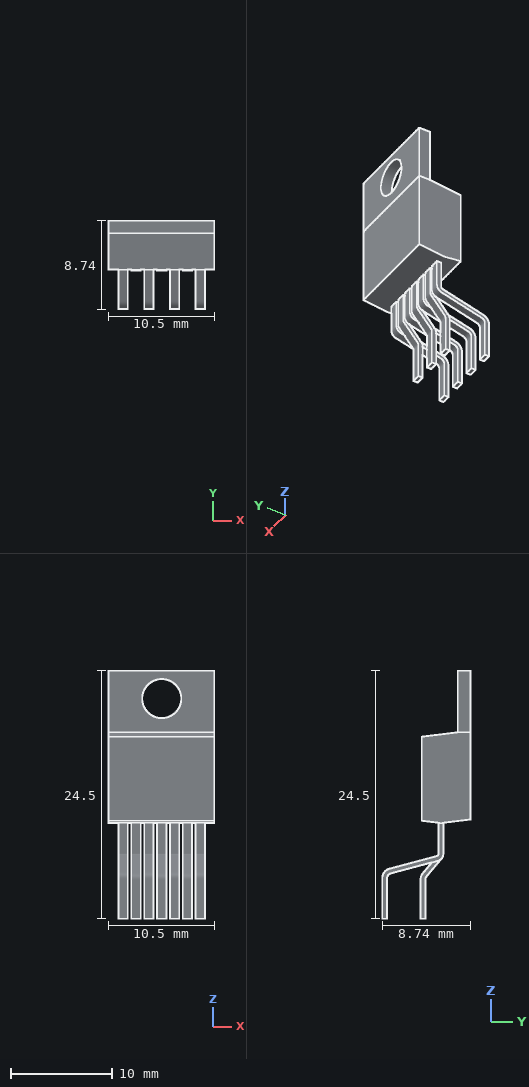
import cadquery as cq
import math


package_width = 10.47
package_height = 24.52
centre_line = 0.04

tab_thickness = 1.27
tab_height = 6.07
tab_bottom = package_height - tab_height
hole_diameter = 3.84
hole_below_top = 2.75

housing_depth = 4.84
housing_ridge = 9.46
draft_slope = math.tan(math.radians(7))

lead_count = 7
lead_pitch = 1.27
lead_width = 0.95
lead_thickness = 0.5
lead_plane = 2.92
upper_bend_start = 6.46
upper_bend_radius = 0.5
lower_bend_radius = 0.75

package_depth = 8.74
long_foot_plane = package_depth - lead_thickness / 2
long_bend_angle = math.radians(75)
short_foot_plane = 4.70
short_bend_angle = math.radians(40)


def make_tab():
    """Flat plate with a round mounting hole, standing on the housing."""
    plate = cq.Workplane("XY").box(
        package_width, tab_thickness, tab_height, centered=(True, False, False)
    ).translate((0, -tab_thickness, tab_bottom))
    hole = (
        cq.Workplane("XZ")
        .center(centre_line, package_height - hole_below_top)
        .circle(hole_diameter / 2)
        .extrude(tab_thickness)
    )
    return plate.cut(hole)


def make_housing():
    """Block with a drafted top in front of the tab and a shallow V underside."""
    front_top = tab_bottom - (housing_depth - tab_thickness) * draft_slope
    front_bottom = housing_ridge + (housing_depth - lead_plane) * draft_slope
    back_bottom = housing_ridge + lead_plane * draft_slope
    profile = [
        (0, back_bottom),
        (0, tab_bottom),
        (-tab_thickness, tab_bottom),
        (-housing_depth, front_top),
        (-housing_depth, front_bottom),
        (-lead_plane, housing_ridge),
    ]
    return cq.Workplane("YZ").polyline(profile).close().extrude(package_width / 2, both=True)


def make_lead(x, foot_plane, bend_angle, housing):
    """Strip swept down from the housing, out toward the front, and down to its tip."""
    sine = math.sin(bend_angle)
    outward = 1 - math.cos(bend_angle)

    upper_bend_end = (
        -lead_plane - upper_bend_radius * outward,
        upper_bend_start - upper_bend_radius * sine,
    )
    lower_bend_y = -foot_plane + lower_bend_radius * outward
    slant_drop = (upper_bend_end[0] - lower_bend_y) / math.tan(bend_angle)
    lower_bend_z = upper_bend_end[1] - slant_drop
    lower_bend_end = lower_bend_z - lower_bend_radius * sine

    strip_top = housing_ridge + lead_thickness * draft_slope
    path = (
        cq.Workplane("YZ", origin=(x, 0, 0))
        .moveTo(-lead_plane, strip_top)
        .lineTo(-lead_plane, upper_bend_start)
        .tangentArcPoint(upper_bend_end, relative=False)
        .lineTo(lower_bend_y, lower_bend_z)
        .tangentArcPoint((-foot_plane, lower_bend_end), relative=False)
        .lineTo(-foot_plane, 0)
    )
    strip = (
        cq.Workplane("XY", origin=(x, -lead_plane, strip_top))
        .rect(lead_width, lead_thickness)
        .sweep(path)
    )
    return strip.cut(housing)


tab = make_tab()
housing = make_housing()

leads = []
for index in range(lead_count):
    lead_x = centre_line + (index - (lead_count - 1) / 2) * lead_pitch
    if index % 2 == 0:
        lead = make_lead(lead_x, long_foot_plane, long_bend_angle, housing)
    else:
        lead = make_lead(lead_x, short_foot_plane, short_bend_angle, housing)
    leads.append(lead)

result = cq.Compound.makeCompound([tab.val(), housing.val(), *[lead.val() for lead in leads]])